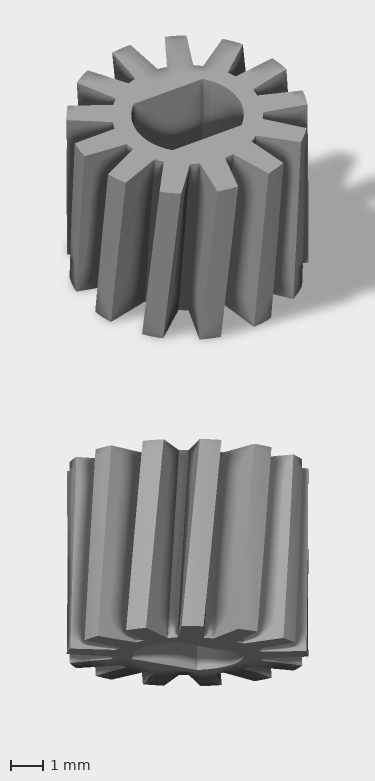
import cadquery as cq
import math

tip_radius = 3.75
height = 6.0

tooth_count = 13
root_radius = 2.35
tip_gap_width = 1.125
root_gap_width = 0.31
twist_angle = 8.7

bore_radius = 1.75
bore_flat_spacing = 2.5

tip_gap_half_angle = math.degrees(math.asin(tip_gap_width / 2 / tip_radius))
root_gap_half_angle = math.degrees(math.asin(root_gap_width / 2 / root_radius))
tooth_pitch = 360.0 / tooth_count


def polar_point(radius, angle):
    """Point in the XY plane at a radius and an angle in degrees."""
    return (radius * math.cos(math.radians(angle)), radius * math.sin(math.radians(angle)))


def gear_outline(first_gap_angle):
    """Closed outline of straight-sided teeth, with the first gap centred on the given angle."""
    outline = cq.Workplane("XY").moveTo(*polar_point(root_radius, first_gap_angle - root_gap_half_angle))
    for index in range(tooth_count):
        gap_angle = first_gap_angle + index * tooth_pitch
        next_gap_angle = gap_angle + tooth_pitch
        outline = outline.threePointArc(
            polar_point(root_radius, gap_angle),
            polar_point(root_radius, gap_angle + root_gap_half_angle),
        )
        outline = outline.lineTo(*polar_point(tip_radius, gap_angle + tip_gap_half_angle))
        outline = outline.threePointArc(
            polar_point(tip_radius, gap_angle + tooth_pitch / 2),
            polar_point(tip_radius, next_gap_angle - tip_gap_half_angle),
        )
        if index < tooth_count - 1:
            outline = outline.lineTo(*polar_point(root_radius, next_gap_angle - root_gap_half_angle))
    return outline.close()


def toothed_body():
    """Helical gear blank, with one gap centred on +X at mid-height."""
    return gear_outline(-twist_angle / 2).twistExtrude(height, twist_angle)


def flatted_bore():
    """Straight through bore with flats facing +X and -X."""
    cylinder = cq.Workplane("XY").circle(bore_radius).extrude(height)
    flats = cq.Workplane("XY").rect(bore_flat_spacing, 2 * bore_radius).extrude(height)
    return cylinder.intersect(flats)


result = toothed_body().cut(flatted_bore())